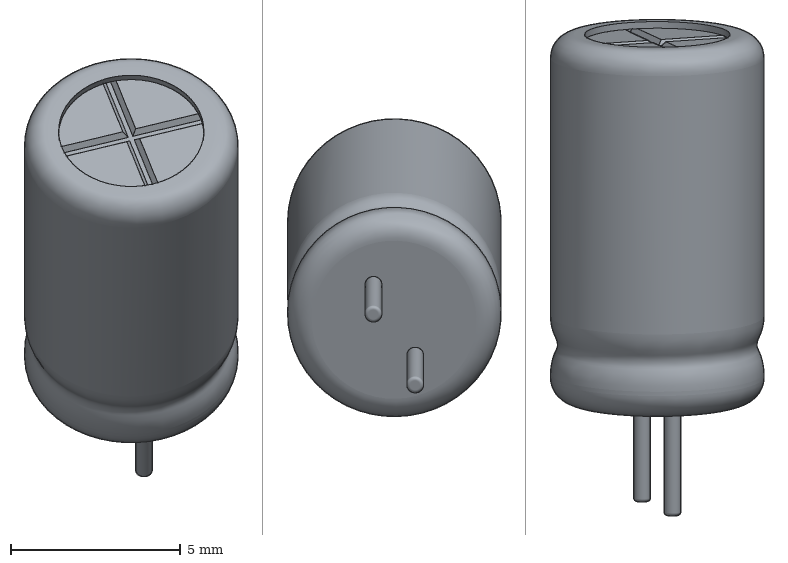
import cadquery as cq
import math

body_diameter = 6.3
body_radius = body_diameter / 2
overall_height = 14.2
lead_length = 3.2
body_height = overall_height - lead_length
top_round = 0.7
bottom_round = 0.72

neck_bottom_z = 0.85
neck_top_z = 2.57
neck_diameter = 5.9
neck_center_z = (neck_bottom_z + neck_top_z) / 2
neck_half_height = (neck_top_z - neck_bottom_z) / 2
neck_depth = (body_diameter - neck_diameter) / 2
throat_radius = 0.47

recess_radius = 2.15
recess_depth = 0.2
score_width = 0.4
score_floor_width = 0.14
score_depth = 0.15
score_half_length = body_radius - top_round

lead_diameter = 0.5
lead_pitch = 2.5
lead_tip_round = 0.1


def make_can():
    """Revolve the can outline, with its rounded ends and crimp groove."""
    turn = 2 * math.atan(neck_depth / neck_half_height)
    shoulder_radius = neck_half_height / math.sin(turn) - throat_radius

    def shoulder_point(angle, side):
        r = body_radius - shoulder_radius * (1 - math.cos(angle))
        z = neck_center_z + side * (neck_half_height - shoulder_radius * math.sin(angle))
        return r, z

    def round_middle(radius, center_z, side):
        reach = radius * math.sqrt(0.5)
        return body_radius - radius + reach, center_z + side * reach

    top_round_z = body_height - top_round
    outline = (
        cq.Workplane("XZ")
        .lineTo(body_radius - bottom_round, 0)
        .threePointArc(round_middle(bottom_round, bottom_round, -1), (body_radius, bottom_round))
        .lineTo(body_radius, neck_bottom_z)
        .threePointArc(shoulder_point(turn / 2, -1), shoulder_point(turn, -1))
        .threePointArc((neck_diameter / 2, neck_center_z), shoulder_point(turn, 1))
        .threePointArc(shoulder_point(turn / 2, 1), (body_radius, neck_top_z))
        .lineTo(body_radius, top_round_z)
        .threePointArc(round_middle(top_round, top_round_z, 1), (body_radius - top_round, body_height))
        .lineTo(0, body_height)
        .close()
    )
    return outline.revolve(360, (0, 0, 0), (0, 1, 0))


def make_score(plane):
    """Trapezoidal groove below the recess floor, running along the normal of the plane."""
    recess_floor_z = body_height - recess_depth
    score_floor_z = recess_floor_z - score_depth
    return (
        cq.Workplane(plane)
        .moveTo(-score_width / 2, recess_floor_z)
        .lineTo(score_width / 2, recess_floor_z)
        .lineTo(score_floor_width / 2, score_floor_z)
        .lineTo(-score_floor_width / 2, score_floor_z)
        .close()
        .extrude(score_half_length, both=True)
    )


def make_lead(x):
    """Round lead hanging from the underside, with a rounded tip."""
    return (
        cq.Workplane("XY")
        .center(x, 0)
        .circle(lead_diameter / 2)
        .extrude(-lead_length)
        .faces("<Z")
        .fillet(lead_tip_round)
    )


recess = (
    cq.Workplane("XY")
    .workplane(offset=body_height - recess_depth)
    .circle(recess_radius)
    .extrude(recess_depth)
)

result = make_can().cut(recess)
for score_plane in ("XZ", "YZ"):
    result = result.cut(make_score(score_plane))
for lead_x in (-lead_pitch / 2, lead_pitch / 2):
    result = result.union(make_lead(lead_x))